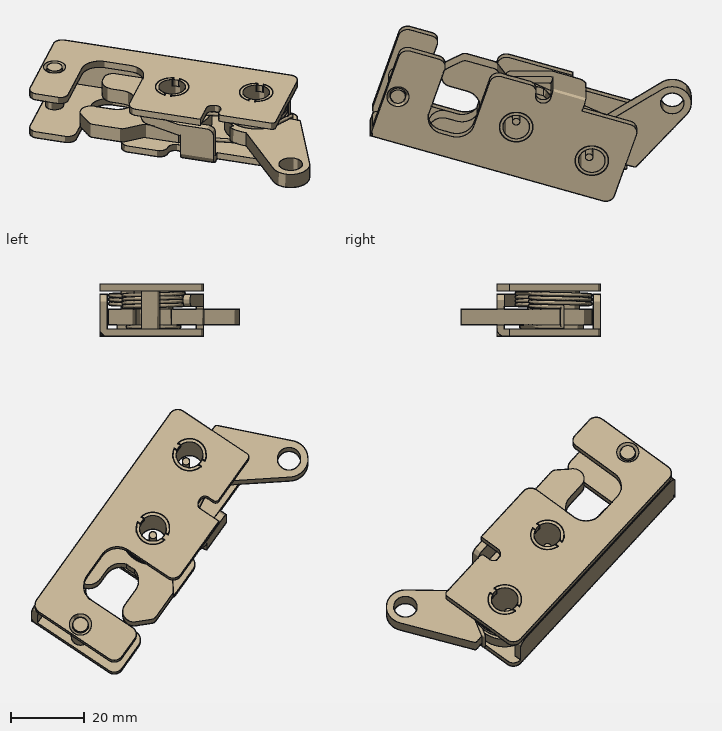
import cadquery as cq
import math

length = 68.5
depth = 28.0
sheet = 2.0
total_height = 14.2
cover_z = total_height - sheet
step_y = 3.43
corner_r = 2.5

claw_pivot = (36.8, 13.5)
lever_pivot = (59.4, 17.1)
pivots = [claw_pivot, lever_pivot]

layer_z = 3.1
layer_top = 7.35
layer_height = layer_top - layer_z
pivot_bore_d = 10.8

bushing_bore_d = 7.2
bushing_end_d = 8.9
bushing_body_d = 10.5
bushing_flange_d = 12.7
bushing_hole_d = 9.1
slit_width = 2.0
tooth_width = 1.6
tooth_root = 0.5

pin_at = (3.5, 14.3)
pin_d = 5.0
pin_end_d = 4.1
pin_hole_d = 4.3
pin_sink_d = 6.0

wall_top = 11.4
tab_left = 43.0
tab_right = 52.3
tab_corner_r = 2.0
tongue_bottom = 8.0
tongue_root_x = 42.4
tongue_tip = (30.9, 3.65)
corner_cut = 1.3
corner_cut_taper = 30

wire_d = 1.0
coil_r = 8.1
coil_top_z = 11.6
coil_bottom_z = 8.05
coil_tail_angle = -30.0
lever_full_turns = 3
claw_turns = 3.5
loop_r = 6.9
loop_z = 2.55
tail_length = 5.35

peg_d = 2.0
peg_places = [claw_pivot, (58.9, 17.9)]


def polar(center, radius, degrees):
    angle = math.radians(degrees)
    return (center[0] + radius * math.cos(angle), center[1] + radius * math.sin(angle))


def angle_to(start, end):
    return math.degrees(math.atan2(end[1] - start[1], end[0] - start[0]))


def disc(center, diameter, z, height):
    return cq.Workplane("XY", origin=(center[0], center[1], z)).circle(diameter / 2).extrude(height)


def rounded_plate(corners, z, height):
    """Extrude a polygon given as (x, y, corner radius); radius 0 keeps the corner sharp."""
    count = len(corners)
    shortest_line = 1e-6
    stretches = []
    for i, (x, y, radius) in enumerate(corners):
        corner = cq.Vector(x, y)
        before = (cq.Vector(*corners[i - 1][:2]) - corner).normalized()
        after = (cq.Vector(*corners[(i + 1) % count][:2]) - corner).normalized()
        half_angle = before.getAngle(after) / 2
        reach = radius / math.tan(half_angle)
        middle = (before + after).normalized() * (radius / math.sin(half_angle) - radius)
        stretches.append((corner + before * reach, corner + middle, corner + after * reach, radius))
    outline = cq.Workplane("XY", origin=(0, 0, z)).moveTo(*stretches[0][2].toTuple()[:2])
    previous = stretches[0][2]
    for start, middle, end, radius in stretches[1:] + stretches[:1]:
        if (start - previous).Length > shortest_line:
            outline = outline.lineTo(*start.toTuple()[:2])
        if radius > 0:
            outline = outline.threePointArc(middle.toTuple()[:2], end.toTuple()[:2])
        previous = end
    return outline.close().extrude(height)


def plate_holes(outer_z, inner_z):
    """Cutter for the bushing holes and the countersunk pin hole of one plate."""
    bottom = min(outer_z, inner_z)
    cutter = disc(pin_at, pin_hole_d, bottom, sheet)
    for pivot in pivots:
        cutter = cutter.union(disc(pivot, bushing_hole_d, bottom, sheet))
    sink_depth = (pin_sink_d - pin_hole_d) / 2
    inward = math.copysign(1, inner_z - outer_z)
    cone = cq.Solid.makeCone(
        pin_sink_d / 2, pin_hole_d / 2, sink_depth,
        cq.Vector(*pin_at, outer_z), cq.Vector(0, 0, inward),
    )
    return cutter.union(cq.Workplane(cone))


def make_cover():
    prong_right = 10.8
    mouth_right = 28.0
    mouth_back = 20.66
    mouth_r = 5.0
    prong_r = 2.1
    notch_left = 48.6
    notch_right = 52.5
    notch_back = 7.75
    notch_left_r = 1.9
    notch_right_r = 1.5
    small_r = 1.0
    plate = rounded_plate([
        (0, 0, corner_r),
        (prong_right, 0, prong_r),
        (prong_right, mouth_back, mouth_r),
        (mouth_right, mouth_back, mouth_r),
        (mouth_right, 0, corner_r),
        (notch_left, 0, 0),
        (notch_left, notch_back, notch_left_r),
        (notch_right, notch_back, notch_right_r),
        (notch_right, step_y, small_r),
        (length, step_y, small_r),
        (length, depth, corner_r),
        (0, depth, corner_r),
    ], cover_z, sheet)
    plate = plate.cut(plate_holes(total_height, cover_z))
    for pivot in pivots:
        plate = plate.union(make_teeth(pivot))
    return plate


def make_teeth(pivot):
    """Two teeth that reach through the bushing slits as far as the bushing bore."""
    bar = (
        cq.Workplane("XY", origin=(*pivot, cover_z))
        .rect(tooth_width, bushing_hole_d + 2 * tooth_root).extrude(sheet)
    )
    return bar.cut(disc(pivot, bushing_bore_d, cover_z, sheet))


def make_bracket():
    mouth_left = 13.05
    mouth_right = 25.8
    mouth_back = 21.5
    mouth_r = 4.9
    relief_left = 38.8
    relief_mouth_r = 2.3
    relief_r = (tab_left - relief_left) / 2
    relief_back = relief_mouth_r + relief_r
    floor = rounded_plate([
        (0, 0, corner_r),
        (mouth_left, 0, corner_r),
        (mouth_left, mouth_back, mouth_r),
        (mouth_right, mouth_back, mouth_r),
        (mouth_right, 0, corner_r),
        (relief_left, 0, relief_mouth_r),
        (relief_left, relief_back, relief_r),
        (tab_left, relief_back, relief_r),
        (tab_left, 0, 0),
        (tab_right, 0, 0),
        (tab_right, step_y, 0),
        (length, step_y, corner_r),
        (length, depth, corner_r),
        (0, depth, 0),
    ], 0, sheet)
    floor = floor.cut(plate_holes(0, sheet))

    wall = (
        cq.Workplane("XY").box(length - corner_r, sheet, wall_top, centered=False)
        .edges("|Y and >Z").fillet(corner_r)
        .translate((0, depth - sheet, 0))
    )
    tab = (
        cq.Workplane("XY").box(tab_right - tab_left, sheet, wall_top, centered=False)
        .edges("|Y and >Z and >X").fillet(tab_corner_r)
        .translate((tab_left, 0, 0))
    )
    bracket = floor.union(wall).union(tab).union(make_tongue())
    return bracket.cut(bracket_bend_cutter()).cut(bracket_corner_cutter())


def make_tongue():
    """Tongue bent back from the left edge of the tab, with a round tip."""
    height = wall_top - tongue_bottom
    run_x = tongue_root_x - tongue_tip[0]
    run = math.hypot(run_x, tongue_tip[1])
    bend_angle = math.degrees(math.atan2(tongue_tip[1], run_x))
    tip_r = height / 2
    blade = (
        cq.Workplane("XZ", origin=(0, 0, tongue_bottom))
        .lineTo(tip_r - run, 0)
        .threePointArc((-run, tip_r), (tip_r - run, height))
        .lineTo(0, height)
        .close().extrude(-sheet)
        .rotate((0, 0, 0), (0, 0, 1), -bend_angle)
        .translate((tongue_root_x, 0, 0))
    )
    root = (
        cq.Workplane("XY", origin=(0, 0, tongue_bottom))
        .moveTo(tongue_root_x, 0)
        .lineTo(tab_left, 0)
        .lineTo(tab_left, sheet)
        .lineTo(tongue_root_x, sheet)
        .close().extrude(height)
    )
    return blade.union(root)


def bracket_bend_cutter():
    """Rounds the outside of the bend under the front tab."""
    width = tab_right - tab_left
    block = cq.Workplane("XY").box(width, sheet, sheet, centered=False)
    kept = cq.Workplane("YZ", origin=(0, sheet, sheet)).circle(sheet).extrude(width)
    return block.cut(kept).translate((tab_left, 0, 0))


def bracket_corner_cutter():
    """Small three-sided cut at the lower back left corner."""
    return (
        cq.Workplane("YZ")
        .moveTo(depth, 0).lineTo(depth - corner_cut, 0).lineTo(depth, corner_cut).close()
        .extrude(corner_cut, taper=corner_cut_taper)
    )


def make_claw():
    front = -0.2
    front_r = 1.8
    hub_front = 3.7
    tip_x = 13.3
    tip_front = 4.4
    tip_r = 2.99
    jaw_x = 14.85
    jaw_back = 25.8
    shoulder_x = 32.8
    mouth_front = 8.64
    mouth_back = 18.2
    mouth_right = 26.2
    mouth_r = (mouth_back - mouth_front) / 2
    hub_half_flat = 4.65
    hub_corner_x = 31.75
    hub_r = math.hypot(hub_half_flat, claw_pivot[1] - hub_front)
    jaw = rounded_plate([
        (17.7, front, front_r),
        (26.8, front, front_r),
        (hub_corner_x, hub_front, 1.5),
        (claw_pivot[0], hub_front, 0),
        (claw_pivot[0], claw_pivot[1] + hub_r, 0),
        (shoulder_x, jaw_back, 0),
        (jaw_x, jaw_back, 2.6),
        (jaw_x, mouth_back, 3.8),
        (mouth_right, mouth_back, mouth_r),
        (mouth_right, mouth_front, mouth_r),
        (tip_x, mouth_front, tip_r),
        (tip_x, tip_front, tip_r),
    ], layer_z, layer_height)
    hub = disc(claw_pivot, 2 * hub_r, layer_z, layer_height)
    below_flat = (
        cq.Workplane("XY").box(2 * hub_half_flat, hub_front, layer_height, centered=False)
        .translate((claw_pivot[0] - hub_half_flat, 0, layer_z))
    )
    bore = disc(claw_pivot, pivot_bore_d, layer_z, layer_height)
    return jaw.union(hub.cut(below_flat)).cut(bore)


def tangent_point(start, center, radius, side):
    """Point where a line from start touches a circle; side picks which of the two."""
    spread = math.degrees(math.acos(radius / math.dist(start, center)))
    return polar(center, radius, angle_to(center, start) + side * spread)


def make_lever():
    eye_at = (75.32, -4.6)
    eye_r = 5.15
    eye_hole_d = 6.3
    hub_r = 8.6
    lobe_r = 9.9
    lobe_start_angle = 240
    lobe_end_angle = 270
    shoulder_x = 71.8
    shoulder_r = 0.6
    lobe_start = polar(lever_pivot, lobe_r, lobe_start_angle)
    lobe_middle = polar(lever_pivot, lobe_r, (lobe_start_angle + lobe_end_angle) / 2)
    arm_start = polar(lever_pivot, lobe_r, lobe_end_angle)
    shoulder = (shoulder_x, lever_pivot[1])
    eye_front = tangent_point(arm_start, eye_at, eye_r, 1)
    eye_back = tangent_point(shoulder, eye_at, eye_r, -1)
    eye_bottom = polar(eye_at, eye_r, 270)
    arm = (
        cq.Workplane("XY", origin=(0, 0, layer_z))
        .moveTo(*lever_pivot)
        .lineTo(*lobe_start)
        .threePointArc(lobe_middle, arm_start)
        .lineTo(*eye_front)
        .threePointArc(eye_bottom, eye_back)
        .lineTo(*shoulder)
        .close().extrude(layer_height)
    )
    shoulder_edge = cq.selectors.NearestToPointSelector((*shoulder, layer_z + layer_height / 2))
    arm = arm.edges("|Z").edges(shoulder_edge).fillet(shoulder_r)
    hub = disc(lever_pivot, 2 * hub_r, layer_z, layer_height)
    bore = disc(lever_pivot, pivot_bore_d, layer_z, layer_height)
    eye_hole = disc(eye_at, eye_hole_d, layer_z, layer_height)
    return arm.union(hub).cut(bore).cut(eye_hole)


def make_bushing(pivot):
    bushing = (
        disc(pivot, bushing_end_d, 0, total_height)
        .union(disc(pivot, bushing_body_d, sheet, cover_z - sheet))
        .union(disc(pivot, bushing_flange_d, sheet, layer_z - sheet))
    )
    slit = (
        cq.Workplane("XY", origin=(*pivot, cover_z))
        .rect(slit_width, bushing_end_d).extrude(sheet)
    )
    return bushing.cut(disc(pivot, bushing_bore_d, 0, total_height)).cut(slit)


def make_pin():
    end = disc(pin_at, pin_end_d, 0, total_height)
    return end.union(disc(pin_at, pin_d, sheet, cover_z - sheet))


def make_spring():
    touch_angle = angle_to(claw_pivot, lever_pivot) - 90
    lever_coil_turn = lever_full_turns * 360 + coil_tail_angle - touch_angle
    claw_coil_turn = claw_turns * 360
    coil_height = coil_top_z - coil_bottom_z

    def coil(pivot, start_angle, turn, lefthand):
        pitch = coil_height * 360 / turn
        helix = cq.Wire.makeHelix(pitch, coil_height, coil_r, lefthand=lefthand)
        turned = helix.rotate(cq.Vector(0, 0, 0), cq.Vector(0, 0, 1), start_angle)
        return turned.translate(cq.Vector(*pivot, coil_bottom_z))

    def at(point, z):
        return cq.Vector(*point, z)

    claw_coil = coil(claw_pivot, touch_angle - claw_coil_turn, claw_coil_turn, False)
    lever_coil = coil(lever_pivot, coil_tail_angle, lever_coil_turn, True)
    bridge = [at(polar(pivot, coil_r, touch_angle), coil_top_z) for pivot in pivots]

    tail = lever_coil.startPoint()
    tail_slope = lever_coil.tangentAt(0)
    leg_top = tail - tail_slope * tail_length
    leg_bottom = cq.Vector(leg_top.x, leg_top.y, loop_z)

    leg_at = (leg_top.x, leg_top.y)
    leg_spread = math.degrees(math.acos(loop_r / math.dist(leg_at, lever_pivot)))
    loop_start = angle_to(lever_pivot, leg_at) - leg_spread
    loop_end = -270

    def loop_arc(pivot, start, end):
        stations = [start, (start + end) / 2, end]
        return cq.Edge.makeThreePointArc(*[at(polar(pivot, loop_r, a), loop_z) for a in stations])

    lever_arc = loop_arc(lever_pivot, loop_start, touch_angle)
    claw_arc = loop_arc(claw_pivot, touch_angle, loop_end)
    straight = cq.Edge.makeLine
    paths = [
        claw_coil,
        straight(*bridge),
        lever_coil,
        straight(tail, leg_top),
        straight(leg_top, leg_bottom),
        straight(leg_bottom, lever_arc.startPoint()),
        lever_arc,
        straight(lever_arc.endPoint(), claw_arc.startPoint()),
        claw_arc,
    ]
    spring = cq.Workplane("XY")
    for path in paths:
        section = cq.Plane(origin=path.startPoint(), normal=path.tangentAt(0))
        stretch = cq.Workplane(section).circle(wire_d / 2).sweep(cq.Workplane(path), isFrenet=True)
        spring = spring.union(stretch)
    for bend in [*bridge, leg_top, leg_bottom]:
        spring = spring.union(cq.Workplane("XY", origin=bend.toTuple()).sphere(wire_d / 2))
    return spring


def make_peg(place):
    return disc(place, peg_d, layer_z, layer_height)


cover = make_cover()
bracket = make_bracket()
claw = make_claw()
lever = make_lever()
pin = make_pin()
spring = make_spring()
bushings = [make_bushing(pivot) for pivot in pivots]
pegs = [make_peg(place) for place in peg_places]

bodies = [cover, bracket, claw, lever, pin, spring, *bushings, *pegs]
result = cq.Compound.makeCompound([body.solids().val() for body in bodies])